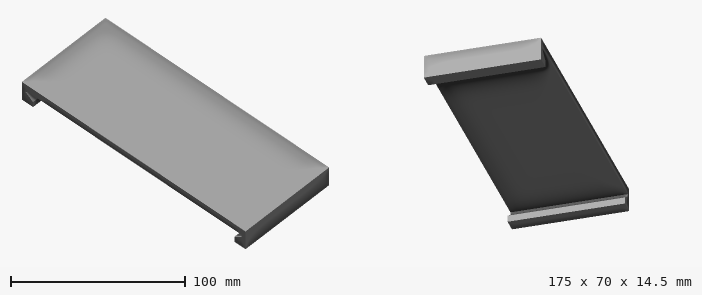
import cadquery as cq

length = 175.0
width = 70.0
height = 14.5

plate_thickness = 4.9
leg_thickness = 3.0
hook_reach = 8.8
hook_tip_height = 4.0
groove_bottom_height = 8.0

half_length = length / 2
leg_inner_x = half_length - leg_thickness
hook_tip_x = half_length - hook_reach
plate_underside_z = height - plate_thickness

half_profile = (
    cq.Workplane("XZ")
    .moveTo(0, height)
    .lineTo(half_length, height)
    .lineTo(half_length, 0)
    .lineTo(hook_tip_x, 0)
    .lineTo(hook_tip_x, hook_tip_height)
    .lineTo(leg_inner_x, groove_bottom_height)
    .lineTo(leg_inner_x, plate_underside_z)
    .lineTo(0, plate_underside_z)
    .close()
)

half_cover = half_profile.extrude(width / 2, both=True)
result = half_cover.union(half_cover.mirror("YZ")).clean()